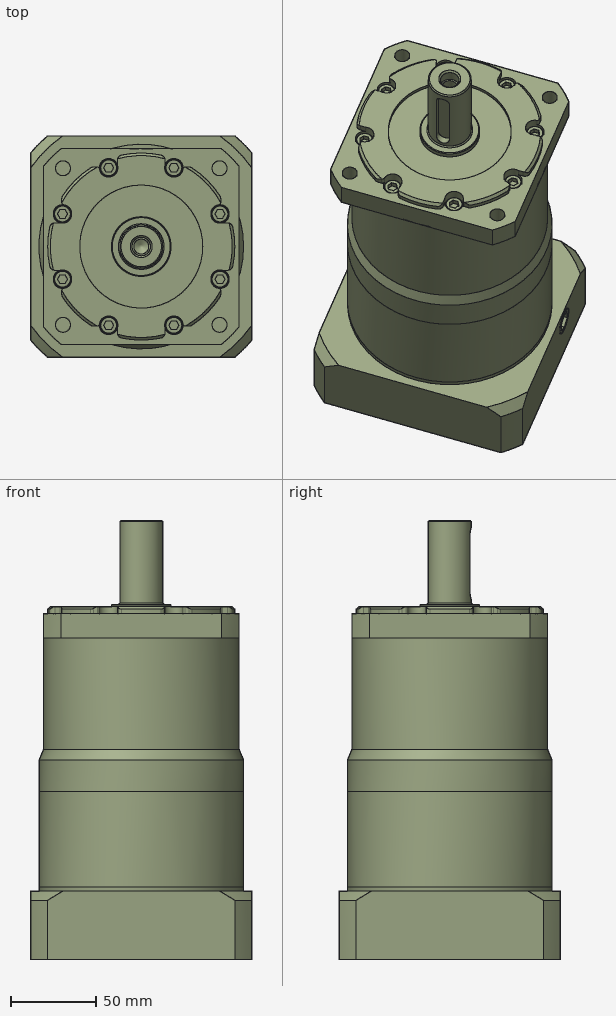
import cadquery as cq
import math

TOTAL_HEIGHT = 258.0
BLOCK_TOP = 40.2
ADAPTER_TOP = 42.8
RING_TOP = 98.8
CONE_BOTTOM = 117.5
CONE_TOP = 123.5
FLANGE_BOTTOM = 188.9
FLANGE_TOP = 203.3
BOSS_TOP = 207.5
RECESS_FLOOR = 205.4
COLLAR_TOP = 208.7

BLOCK_SIDE = 130.0
BLOCK_CORNER_RADIUS = 85.1
BLOCK_CORNER_CHAMFER = 5.5
RING_RADIUS = 60.0

PLUG_RADIUS = 8.0
PLUG_LENGTH = 10.3
PLUG_CHAMFER = 0.5
PLUG_Y = -18.0
PLUG_Z = 29.2
PLUG_SOCKET_FLATS = 10.0
PLUG_SOCKET_DEPTH = 5.2

FLANGE_SIDE = 115.0
BARREL_RADIUS = FLANGE_SIDE / 2
FLANGE_CORNER_RADIUS = 74.3
MOUNT_CIRCLE_RADIUS = 65.0
MOUNT_HOLE_RADIUS = 4.5

BOSS_RADIUS = 55.0
BOSS_ARM_WIDTH = 27.9
BOSS_SQUARE_SIDE = 93.5
BOSS_CORNER_FILLET = 3.0
BOSS_NOTCH_FILLET = 1.3
BOSS_CHAMFER = 1.5
RECESS_RADIUS = 36.0

SCREW_COUNT = 8
SCREW_CIRCLE_RADIUS = 50.0
COUNTERBORE_RADIUS = 5.5
COUNTERBORE_DEPTH = 5.2
SCREW_HEAD_RADIUS = 5.0
SCREW_HEAD_CHAMFER = 0.3
SCREW_HEAD_SETBACK = 1.0
SCREW_HEAD_TOP = FLANGE_TOP - SCREW_HEAD_SETBACK
SCREW_SOCKET_FLATS = 5.2
SCREW_SOCKET_DEPTH = 3.0

SHAFT_RADIUS = 12.6
SHAFT_CHAMFER = 0.8
COLLAR_RADIUS = 17.5
COLLAR_CHAMFER = 0.5
SHAFT_FLARE = 0.8
KEYWAY_WIDTH = 8.0
KEYWAY_DEPTH = 4.0
KEYWAY_BOTTOM = 211.5
KEYWAY_TOP = 254.0

CENTRE_MOUTH_RADIUS = 6.5
CENTRE_CLEARANCE_RADIUS = 5.5
CENTRE_CLEARANCE_DEPTH = 7.5
CENTRE_BORE_RADIUS = 4.5
CENTRE_BORE_DEPTH = 22.0
DRILL_POINT_ANGLE = 118


def cylinder(radius, bottom, top):
    """Upright cylinder on the main axis."""
    return cq.Workplane("XY").workplane(offset=bottom).circle(radius).extrude(top - bottom)


def square_block(side, bottom, top):
    """Upright square block centred on the main axis."""
    return cq.Workplane("XY").workplane(offset=bottom).rect(side, side).extrude(top - bottom)


def revolved(points):
    """Turned solid from (radius, height) points."""
    return cq.Workplane("XZ").polyline(points).close().revolve(360, (0, 0), (0, 1))


def across_corners(across_flats):
    """Corner-to-corner size of a regular hexagon."""
    return across_flats / math.cos(math.pi / 6)


def screw_centres():
    """Screw positions, set half a pitch off the X axis."""
    pitch = 2 * math.pi / SCREW_COUNT
    angles = [(index + 0.5) * pitch for index in range(SCREW_COUNT)]
    return [(SCREW_CIRCLE_RADIUS * math.cos(a), SCREW_CIRCLE_RADIUS * math.sin(a)) for a in angles]


def make_adapter():
    block = square_block(BLOCK_SIDE, 0, BLOCK_TOP)
    corners = cylinder(BLOCK_CORNER_RADIUS, 0, BLOCK_TOP).faces(">Z").chamfer(BLOCK_CORNER_CHAMFER)
    adapter = block.intersect(corners).union(cylinder(RING_RADIUS, 0, ADAPTER_TOP))
    return adapter.cut(plug_blank())


def plug_plane():
    """Plane on the -X side of the block, centred on the plug."""
    return cq.Workplane("YZ", origin=(-BLOCK_SIDE / 2, PLUG_Y, PLUG_Z))


def plug_blank():
    """Plug without its chamfer and socket; it also fits the hole in the adapter."""
    return plug_plane().circle(PLUG_RADIUS).extrude(PLUG_LENGTH)


def make_plug():
    socket = (
        plug_plane()
        .transformed(rotate=(0, 0, 90))
        .polygon(6, across_corners(PLUG_SOCKET_FLATS))
        .extrude(PLUG_SOCKET_DEPTH)
    )
    return plug_blank().faces("<X").chamfer(PLUG_CHAMFER).cut(socket)


def make_ring():
    return cylinder(RING_RADIUS, ADAPTER_TOP, RING_TOP)


def upright_edges(body, radius):
    """Vertical edges at the given distance from the main axis."""
    tolerance = 0.13
    edges = body.edges("|Z").vals()
    return [e for e in edges if abs(math.hypot(e.Center().x, e.Center().y) - radius) < tolerance]


def make_boss():
    """Disc trimmed to a square with four arms, so that it clears the screws."""
    disc = cylinder(BOSS_RADIUS, FLANGE_TOP, BOSS_TOP)
    height = BOSS_TOP - FLANGE_TOP
    base = cq.Workplane("XY").workplane(offset=FLANGE_TOP)
    arm_length = 2 * BOSS_RADIUS
    outline = (
        square_block(BOSS_SQUARE_SIDE, FLANGE_TOP, BOSS_TOP)
        .union(base.rect(arm_length, BOSS_ARM_WIDTH).extrude(height))
        .union(base.rect(BOSS_ARM_WIDTH, arm_length).extrude(height))
    )
    notches = base.pushPoints(screw_centres()).circle(COUNTERBORE_RADIUS).extrude(height)
    boss = disc.intersect(outline).cut(notches)
    half_side = BOSS_SQUARE_SIDE / 2
    screw_offset = SCREW_CIRCLE_RADIUS * math.sin(math.pi / SCREW_COUNT)
    notch_corner = math.hypot(half_side, screw_offset + COUNTERBORE_RADIUS)
    boss = boss.newObject(upright_edges(boss, BOSS_RADIUS)).fillet(BOSS_CORNER_FILLET)
    boss = boss.newObject(upright_edges(boss, notch_corner)).fillet(BOSS_NOTCH_FILLET)
    return boss.intersect(disc.faces(">Z").chamfer(BOSS_CHAMFER))


def make_housing():
    body = revolved([
        (0, RING_TOP),
        (RING_RADIUS, RING_TOP),
        (RING_RADIUS, CONE_BOTTOM),
        (BARREL_RADIUS, CONE_TOP),
        (BARREL_RADIUS, FLANGE_BOTTOM),
        (0, FLANGE_BOTTOM),
    ])
    flange = square_block(FLANGE_SIDE, FLANGE_BOTTOM, FLANGE_TOP)
    flange = flange.intersect(cylinder(FLANGE_CORNER_RADIUS, FLANGE_BOTTOM, FLANGE_TOP))
    mount_pitch = MOUNT_CIRCLE_RADIUS * math.sqrt(2)
    mount_holes = (
        cq.Workplane("XY").workplane(offset=FLANGE_BOTTOM)
        .rect(mount_pitch, mount_pitch, forConstruction=True)
        .vertices().circle(MOUNT_HOLE_RADIUS).extrude(FLANGE_TOP - FLANGE_BOTTOM)
    )
    housing = body.union(flange.cut(mount_holes)).union(make_boss())
    housing = housing.cut(cylinder(RECESS_RADIUS, RECESS_FLOOR, BOSS_TOP))
    floor = FLANGE_TOP - COUNTERBORE_DEPTH
    at_screws = cq.Workplane("XY").workplane(offset=floor).pushPoints(screw_centres())
    counterbores = at_screws.circle(COUNTERBORE_RADIUS).extrude(BOSS_TOP - floor)
    heads = at_screws.circle(SCREW_HEAD_RADIUS).extrude(SCREW_HEAD_TOP - floor)
    heads = heads.faces(">Z").chamfer(SCREW_HEAD_CHAMFER)
    sockets = (
        cq.Workplane("XY").workplane(offset=SCREW_HEAD_TOP - SCREW_SOCKET_DEPTH)
        .pushPoints(screw_centres())
        .polygon(6, across_corners(SCREW_SOCKET_FLATS)).extrude(SCREW_SOCKET_DEPTH)
    )
    return housing.cut(counterbores).union(heads.cut(sockets))


def make_shaft():
    collar = cylinder(COLLAR_RADIUS, RECESS_FLOOR, COLLAR_TOP).faces(">Z").chamfer(COLLAR_CHAMFER)
    flare = revolved([
        (0, COLLAR_TOP),
        (SHAFT_RADIUS + SHAFT_FLARE, COLLAR_TOP),
        (SHAFT_RADIUS, COLLAR_TOP + SHAFT_FLARE),
        (0, COLLAR_TOP + SHAFT_FLARE),
    ])
    rod = cylinder(SHAFT_RADIUS, RECESS_FLOOR, TOTAL_HEIGHT).faces(">Z").chamfer(SHAFT_CHAMFER)
    keyway = (
        cq.Workplane("XZ", origin=(0, SHAFT_RADIUS, (KEYWAY_BOTTOM + KEYWAY_TOP) / 2))
        .slot2D(KEYWAY_TOP - KEYWAY_BOTTOM, KEYWAY_WIDTH, 90)
        .extrude(KEYWAY_DEPTH)
    )
    clearance_floor = TOTAL_HEIGHT - CENTRE_CLEARANCE_DEPTH
    bore_floor = TOTAL_HEIGHT - CENTRE_BORE_DEPTH
    countersink_depth = CENTRE_MOUTH_RADIUS - CENTRE_CLEARANCE_RADIUS
    point_height = CENTRE_BORE_RADIUS / math.tan(math.radians(DRILL_POINT_ANGLE / 2))
    centre_hole = revolved([
        (0, TOTAL_HEIGHT),
        (CENTRE_MOUTH_RADIUS, TOTAL_HEIGHT),
        (CENTRE_CLEARANCE_RADIUS, TOTAL_HEIGHT - countersink_depth),
        (CENTRE_CLEARANCE_RADIUS, clearance_floor),
        (CENTRE_BORE_RADIUS, clearance_floor),
        (CENTRE_BORE_RADIUS, bore_floor),
        (0, bore_floor - point_height),
    ])
    return collar.union(flare).union(rod).cut(keyway).cut(centre_hole)


result = cq.Compound.makeCompound([
    make_adapter().val(),
    make_plug().val(),
    make_ring().val(),
    make_housing().val(),
    make_shaft().val(),
])